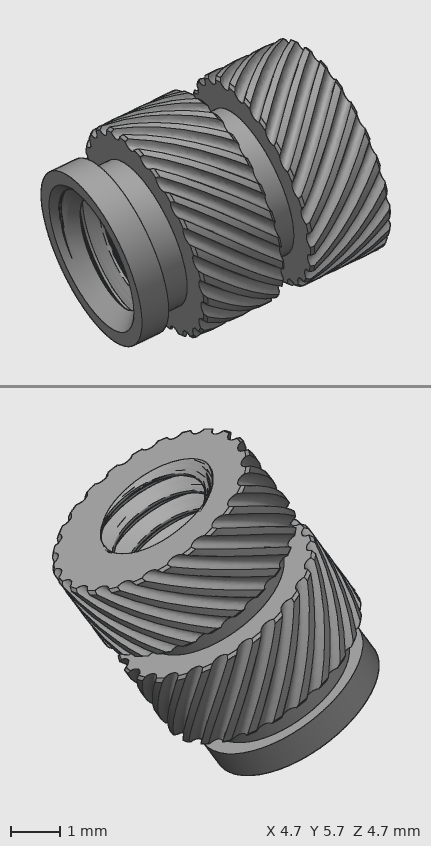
import cadquery as cq
import math

length = 5.7
collar_length = length / 9
knurl_length = 3 * collar_length

flange_diameter = 3.91
neck_diameter = 3.28
knurl_diameter = 4.7
knurl_chamfer = 0.06

groove_count = 24
groove_depth = 0.18
groove_radius = 0.2
knurl_twist = 48.0
blank_margin = 0.03

thread_diameter = 3.0
thread_pitch = 0.5
flank_angle = math.radians(30)
flat_share = 1 / 8
flank_share = (1 - 2 * flat_share) / 2
thread_depth = flank_share * thread_pitch / math.tan(flank_angle)
root_radius = thread_diameter / 2
bore_radius = root_radius - thread_depth
thread_start = -0.075
flank_points = 4


def cylinder(diameter, bottom, height):
    return cq.Workplane("XY").workplane(offset=bottom).circle(diameter / 2).extrude(height)


def polar(radius, angle):
    return (radius * math.cos(angle), radius * math.sin(angle))


def knurl(bottom):
    """Chamfered ring around the neck, with grooves that run as right-hand helices."""
    blank_radius = knurl_diameter / 2 + blank_margin
    groove_floor = knurl_diameter / 2 - groove_depth
    groove_centre = groove_floor + groove_radius
    half_angle = math.acos(
        (blank_radius**2 + groove_centre**2 - groove_radius**2) / (2 * blank_radius * groove_centre)
    )
    step = 2 * math.pi / groove_count

    outline = cq.Workplane("XY").workplane(offset=bottom).moveTo(*polar(blank_radius, -half_angle))
    for index in range(groove_count):
        angle = index * step
        groove_end = polar(blank_radius, angle + half_angle)
        land_middle = polar(blank_radius, angle + step / 2)
        land_end = polar(blank_radius, angle + step - half_angle)
        outline = outline.threePointArc(polar(groove_floor, angle), groove_end)
        outline = outline.threePointArc(land_middle, land_end)
    blank = outline.close().twistExtrude(knurl_length, knurl_twist)

    band = cylinder(knurl_diameter, bottom, knurl_length).edges().chamfer(knurl_chamfer)
    return blank.intersect(band).cut(cylinder(neck_diameter, bottom, knurl_length))


def threaded_core():
    """Bore and thread as one solid, made by turning the thread's cross-section once per pitch."""
    root_end = math.pi * flat_share
    crest_end = math.pi + root_end
    flank_sweep = 2 * math.pi * flank_share

    shares = [index / flank_points for index in range(1, flank_points + 1)]
    rising_flank = [
        polar(bore_radius + thread_depth * share, crest_end + flank_sweep * share) for share in shares
    ]
    falling_flank = [
        polar(root_radius - thread_depth * share, root_end + flank_sweep * share) for share in shares
    ]

    section = (
        cq.Workplane("XY")
        .workplane(offset=thread_start)
        .moveTo(*polar(bore_radius, crest_end))
        .spline(rising_flank, includeCurrent=True)
        .threePointArc((root_radius, 0), polar(root_radius, root_end))
        .spline(falling_flank, includeCurrent=True)
        .threePointArc((-bore_radius, 0), polar(bore_radius, crest_end))
        .close()
    )
    turns = math.ceil((length - thread_start) / thread_pitch)
    return section.twistExtrude(turns * thread_pitch, 360 * turns)


neck = cylinder(neck_diameter, 0, length)
lead_in = cq.Workplane(cq.Solid.makeCone(neck_diameter / 2, 0, neck_diameter / 2))
body = neck.cut(lead_in).cut(threaded_core())

flange = cylinder(flange_diameter, 0, collar_length).cut(cylinder(neck_diameter, 0, collar_length))
lower_knurl = knurl(2 * collar_length)
upper_knurl = lower_knurl.mirror("XY").translate((0, 0, length + 2 * collar_length))

for ring in (flange, lower_knurl, upper_knurl):
    body = body.union(ring, glue=True)

result = body.rotate((0, 0, 0), (1, 0, 0), -90)